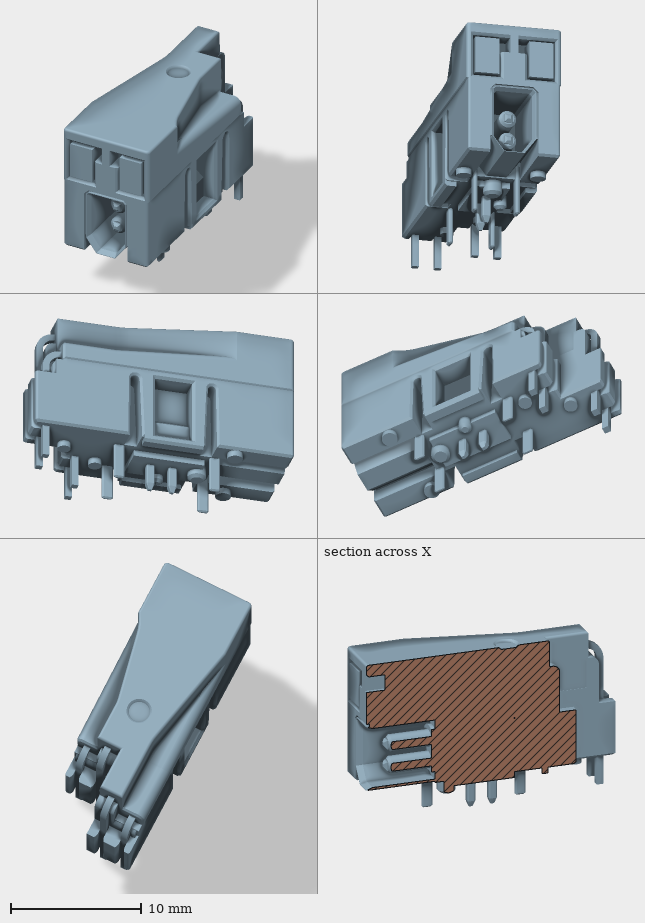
import cadquery as cq

BASE_HALF = 3.65
COVER_HALF = 3.76
COVER_TOP = 10.45
COVER_BOTTOM = 5.87
BASE_LENGTH = 20.6
REAR_SHIFT = 3.42
COVER_LENGTH = 18.43
FINGER_TOP = 4.45
SHELF_LENGTH = 18.98
SHELF_TOP = 5.75
EDGE = 0.2
UNDERSIDE_CHAMFER = 0.18
LIP = COVER_HALF - BASE_HALF

SPINE_HALF = 1.95
SPINE_BEND_LEFT = 13.25
SPINE_BEND_RIGHT = 11.7
BEND_RADIUS_LEFT = 4.3
BEND_RADIUS_RIGHT = 2.5
SPINE_END = 4.6
RIGHT_FLARE = (3.1, 6.15)
SPINE_ROOT = 0.18
STEP_X = -0.04
SHOULDER_LOW = 7.46
SHOULDER_HIGH = 8.36
RAMP_START = 14.15
SHOULDER_ROUND = 0.58
DIMPLE_X = 0.06
DIMPLE_Y = 11.65
DIMPLE_DIAMETER = 1.95
DIMPLE_DEPTH = 0.18

WINDOW_OUT = 3.45
WINDOW_IN = 0.83
WINDOW_LOW = 6.0
WINDOW_HIGH = 9.65
NOTCH_IN = 0.32
NOTCH_LOW = 8.22
WINDOW_DEPTH = 1.5
LIGHT_OUT = 3.09
LIGHT_IN = 1.19
LIGHT_LOW = 6.38
LIGHT_HIGH = 9.27

PORT_HALF = 1.91
PORT_TOP = 5.55
PORT_CORNER = 0.4
PORT_DEPTH = 5.6
SHELL_HALF = 1.5
SHELL_TOP = 5.15
SHELL_CHAMFER_TOP = 1.4
SHELL_FLOOR_HALF = 0.7
SHELL_FLOOR = 0.32
SHELL_WALL = 0.22
SHELL_BEVEL = 0.18
SHELL_BEVEL_DEPTH = 0.5
CONTACT_HEIGHTS = (1.75, 3.53)
CONTACT_TIP = 1.6
COLLAR_DIAMETER = 1.35
COLLAR_START = 1.9
CONTACT_SIZE = 0.66
CARRIER_WIDTH = 1.96
CARRIER_LOW = 0.9
CARRIER_HIGH = 4.56
CARRIER_DEPTH = 0.3

SIDE_DEPTH = BASE_HALF - PORT_HALF
TAB_THICKNESS = 0.9
TAB_BOTTOM = -0.38
FRAME_FRONT = 7.9
FRAME_REAR = 11.28
FRAME_LOW = 0.1
FRAME_HIGH = 5.53
CATCH_DEPTH = 1.1
CATCH_LOW = 1.98
CATCH_HIGH = 2.49
FRONT_SLOT = (6.12, 7.05, 6.22, 6.85)
REAR_SLOT = (12.09, 13.07, 12.29, 13.02)
SLOT_TOP = 5.36
SLOT_RIM = 0.17

PIN_WIDTH = 0.53
PIN_THICKNESS = 0.52
PIN_BOTTOM = -2.56
PIN_OUTER_Y = 19.9
PIN_INNER_X = 1.03
PIN_OUTER_X = 2.82
INNER_PIN_TOP = 9.29
OUTER_PIN_TOP = 6.77
PIN_BEND = 1.42
RIB_Y = 19.25
RIB_SPLIT = 1.6
RIB_OUT = 3.45
HIGH_RIB_TOP = 8.31
RIB_ROUND = 0.6
FINGER_SHOULDER = 0.55
FINGER_TAPER = 0.14

LEG_TIP = -2.85
LEG_WALL = 0.33
LEG_CENTRES = (5.8, 13.42)
LEG_WIDTH = 0.86
LEG_BEVEL = 0.11
SIGNAL_PIN_YS = (8.74, 10.5)
SIGNAL_PIN_SIZE = 0.66
SIGNAL_BEVEL = 0.1
SIGNAL_TAPER_LENGTH = 0.5
SIGNAL_TAPER = 22

PAD_BOTTOM = -0.48
PEG_BOTTOM = -1.09
PEG_CHAMFER = 0.23
PADS = ((-2.86, 4.52, 1.2), (2.86, 3.85, 1.2), (-0.83, 17.58, 1.03), (1.02, 14.6, 1.03))
PEGS = ((0, 6.76, 1.45), (1.33, 9.57, 1.0))
INSERT_HALF = 1.34
INSERT_FRONT = 6.5
INSERT_REAR = 12.15


def box(x0, x1, y0, y1, z0, z1):
    return cq.Workplane("XY").box(x1 - x0, y1 - y0, z1 - z0, centered=False).translate((x0, y0, z0))


def front_prism(points, y0, y1):
    """Extrude an XZ outline along Y from y0 to y1."""
    return cq.Workplane("XZ", origin=(0, y0, 0)).polyline(points).close().extrude(y0 - y1)


def side_prism(points, x0, x1):
    """Extrude a YZ outline along X from x0 to x1."""
    return cq.Workplane("YZ", origin=(x0, 0, 0)).polyline(points).close().extrude(x1 - x0)


def mirrored(shape):
    return shape.union(shape.mirror("YZ"))


def stepped_block(half, length, z0, z1):
    """Block whose +X half is shorter than its -X half."""
    left = box(-half, 0, 0, length, z0, z1)
    return left.union(box(0, half, 0, length - REAR_SHIFT, z0, z1)).clean()


def make_spine():
    """Full-height part of the cover, widening from a narrow rear to the mating face."""
    right_end = COVER_LENGTH - REAR_SHIFT
    left_points = [
        (-COVER_HALF, SPINE_END),
        (-SPINE_HALF, SPINE_BEND_LEFT),
        (-SPINE_HALF, COVER_LENGTH),
        (STEP_X, COVER_LENGTH),
        (STEP_X, right_end),
        (SPINE_HALF, right_end),
        (SPINE_HALF, SPINE_BEND_RIGHT),
        RIGHT_FLARE,
    ]
    outline = cq.Workplane("XY", origin=(0, 0, COVER_BOTTOM)).moveTo(-COVER_HALF, 0)
    for x, y in left_points:
        outline = outline.lineTo(x, y)
    outline = outline.tangentArcPoint((COVER_HALF, SPINE_END), relative=False).lineTo(COVER_HALF, 0).close()
    spine = outline.extrude(COVER_TOP - COVER_BOTTOM)
    for x, y, radius in (
        (-SPINE_HALF, SPINE_BEND_LEFT, BEND_RADIUS_LEFT),
        (SPINE_HALF, SPINE_BEND_RIGHT, BEND_RADIUS_RIGHT),
        (-COVER_HALF, 0, EDGE + LIP),
        (COVER_HALF, 0, EDGE + LIP),
    ):
        nearest = cq.selectors.NearestToPointSelector((x, y, (COVER_TOP + COVER_BOTTOM) / 2))
        spine = spine.edges("|Z").edges(nearest).fillet(radius)
    return spine.faces(">Z").edges().fillet(EDGE)


def shoulder_profile(rear, ramp_start):
    """Side profile of a shoulder that rises toward the mating face from ramp_start."""
    profile = [(SPINE_END, COVER_BOTTOM), (rear, COVER_BOTTOM), (rear, SHOULDER_LOW)]
    if ramp_start < rear:
        profile.append((ramp_start, SHOULDER_LOW))
    profile.append((SPINE_END, SHOULDER_HIGH))
    return profile


def make_shoulder(side, rear, ramp_start):
    shoulder = side_prism(shoulder_profile(rear, ramp_start), side * SPINE_HALF / 2, side * COVER_HALF)
    outer_face = ">X" if side > 0 else "<X"
    outer_edges = shoulder.faces(outer_face).edges("not(|Z)").edges(">Z or (not <Z)")
    shoulder = outer_edges.fillet(SHOULDER_ROUND)
    return shoulder.faces(">Y").edges("not(<Z)").edges("not(<X)" if side > 0 else "not(>X)").chamfer(EDGE * 0.8)


def make_root(spine, side, rear, ramp_start):
    """Strip of material that fillets the corner between one spine wall and its shoulder."""
    front = SPINE_END + SPINE_ROOT
    profile = shoulder_profile(rear, ramp_start)[2:] + [(SPINE_END, COVER_TOP), (rear, COVER_TOP)]
    clearance = side_prism(profile, side * SPINE_HALF / 2, side * COVER_HALF).cut(spine)
    slab = box(-COVER_HALF, COVER_HALF, front, rear, COVER_BOTTOM, COVER_TOP)
    clearance = clearance.intersect(slab)
    inner = sorted((side * SPINE_HALF * 0.9, side * (COVER_HALF - EDGE)))
    wall_edges = cq.selectors.BoxSelector(
        (inner[0], front + EDGE, SHOULDER_LOW - EDGE),
        (inner[1], rear - EDGE, SHOULDER_HIGH + EDGE),
    )
    clearance = clearance.edges("not(|Z)").edges(wall_edges).fillet(SPINE_ROOT)
    strip_limits = sorted((side * SPINE_HALF * 0.9, side * (COVER_HALF - SHOULDER_ROUND)))
    strip = box(*strip_limits, front, rear - EDGE, COVER_BOTTOM, SHOULDER_HIGH + SPINE_ROOT)
    return strip.cut(clearance)


def make_cover():
    spine = make_spine()
    right_end = COVER_LENGTH - REAR_SHIFT
    cover = spine
    for side, rear, ramp_start in ((-1, COVER_LENGTH, RAMP_START), (1, right_end, right_end)):
        cover = cover.union(make_shoulder(side, rear, ramp_start))
        cover = cover.union(make_root(spine, side, rear, ramp_start))
    lip = [(BASE_HALF, COVER_BOTTOM), (COVER_HALF, COVER_BOTTOM), (COVER_HALF, COVER_BOTTOM + LIP)]
    cover = cover.cut(mirrored(front_prism(lip, 0, COVER_LENGTH)))
    dimple_top = cq.Workplane("XY", origin=(DIMPLE_X, DIMPLE_Y, COVER_TOP))
    dimple = dimple_top.circle(DIMPLE_DIAMETER / 2).extrude(-DIMPLE_DEPTH, taper=45)
    return cover.cut(dimple)


def add_indicator(body):
    window = box(-WINDOW_OUT + EDGE, -WINDOW_IN - EDGE, 0, WINDOW_DEPTH, WINDOW_LOW + EDGE, WINDOW_HIGH - EDGE)
    width = WINDOW_OUT - WINDOW_IN
    height = WINDOW_HIGH - WINDOW_LOW
    centre = (-(WINDOW_OUT + WINDOW_IN) / 2, 0, (WINDOW_LOW + WINDOW_HIGH) / 2)
    bevel = cq.Workplane("XZ", origin=centre).rect(width, height).extrude(-EDGE, taper=45)
    notch = box(-WINDOW_IN - EDGE, -NOTCH_IN, 0, WINDOW_DEPTH, NOTCH_LOW, WINDOW_HIGH - EDGE)
    top_bevel = [(0, WINDOW_HIGH), (0, NOTCH_LOW), (EDGE, NOTCH_LOW), (EDGE, WINDOW_HIGH - EDGE)]
    notch_bevel = side_prism(top_bevel, -WINDOW_IN - EDGE, -NOTCH_IN)
    light = box(-LIGHT_OUT, -LIGHT_IN, 0, WINDOW_DEPTH, LIGHT_LOW, LIGHT_HIGH)
    cutter = window.union(bevel).union(notch).union(notch_bevel)
    return body.cut(mirrored(cutter)).union(mirrored(light))


def make_base():
    base = stepped_block(BASE_HALF, BASE_LENGTH, 0, COVER_BOTTOM)
    rear_cut = box(-BASE_HALF, 0, SHELF_LENGTH, BASE_LENGTH, FINGER_TOP, COVER_BOTTOM)
    shelf_cut = box(-BASE_HALF, 0, COVER_LENGTH, SHELF_LENGTH, SHELF_TOP, COVER_BOTTOM)
    left_cut = rear_cut.union(shelf_cut)
    right_cut = left_cut.translate((BASE_HALF, -REAR_SHIFT, 0))
    base = base.edges("|Z and (<Y or <X or >X)").fillet(EDGE).faces("<Z").edges().chamfer(UNDERSIDE_CHAMFER)
    return base.cut(left_cut).cut(right_cut)


def slot_outline(plane, slot, margin):
    """Tapering round-topped slot outline, widened all round by margin."""
    front_low, rear_low, front_high, rear_high = slot
    centre = (front_high + rear_high) / 2
    radius = (rear_high - front_high) / 2
    spring = SLOT_TOP - radius
    outline = plane.moveTo(front_low - margin, 0).lineTo(front_high - margin, spring)
    outline = outline.threePointArc((centre, SLOT_TOP + margin), (rear_high + margin, spring))
    return outline.lineTo(rear_low + margin, 0).close()


def cut_slots(base):
    """Cut the slots with bevelled rims into both sides."""
    for slot in (FRONT_SLOT, REAR_SLOT):
        side = cq.Workplane("YZ", origin=(-BASE_HALF, 0, 0))
        groove = slot_outline(side, slot, 0).extrude(SIDE_DEPTH)
        rim = slot_outline(side, slot, SLOT_RIM)
        rim = slot_outline(rim.workplane(offset=SLOT_RIM), slot, 0).loft(ruled=True)
        for cutter in (groove, rim):
            base = base.cut(cutter).cut(cutter.mirror("YZ"))
    return base


def add_side_latches(base):
    tab_front = FRONT_SLOT[1] + SLOT_RIM
    tab_rear = REAR_SLOT[0] - SLOT_RIM
    tab = box(-BASE_HALF, -BASE_HALF + TAB_THICKNESS, tab_front, tab_rear, TAB_BOTTOM, 1)
    tab = tab.faces("<Z").edges("<X").chamfer(EDGE)
    base = base.union(mirrored(tab))
    floor_x = -PORT_HALF
    frame = box(-BASE_HALF, floor_x, FRAME_FRONT + EDGE, FRAME_REAR - EDGE, FRAME_LOW + EDGE, FRAME_HIGH - EDGE)
    frame_centre = (-BASE_HALF, (FRAME_FRONT + FRAME_REAR) / 2, (FRAME_LOW + FRAME_HIGH) / 2)
    rim = cq.Workplane("YZ", origin=frame_centre).rect(FRAME_REAR - FRAME_FRONT, FRAME_HIGH - FRAME_LOW)
    rim = rim.extrude(EDGE, taper=45)
    catch_x = -BASE_HALF + CATCH_DEPTH
    catch = [(floor_x, FRAME_LOW), (catch_x, FRAME_LOW), (catch_x, CATCH_LOW), (floor_x, CATCH_HIGH)]
    cutter = frame.union(rim).cut(front_prism(catch, FRAME_FRONT, FRAME_REAR))
    return cut_slots(base.cut(mirrored(cutter)))


def shell_outline(offset):
    """Inside outline of the connector shell, grown outward by offset."""
    right = [
        (SHELL_FLOOR_HALF + offset / 2, SHELL_FLOOR - offset),
        (SHELL_HALF + offset, SHELL_CHAMFER_TOP - offset / 2),
        (SHELL_HALF + offset, SHELL_TOP + offset - PORT_CORNER / 2),
        (SHELL_HALF + offset - PORT_CORNER / 2, SHELL_TOP + offset),
    ]
    return right + [(-x, z) for x, z in reversed(right)]


def add_port(body):
    opening = box(-PORT_HALF, PORT_HALF, 0, PORT_DEPTH, -1, PORT_TOP)
    opening = opening.edges("|Y and >Z").chamfer(PORT_CORNER)
    wall = PORT_HALF - SHELL_HALF
    liner = opening.intersect(box(-PORT_HALF, PORT_HALF, SHELL_WALL, PORT_DEPTH, SHELL_CHAMFER_TOP, PORT_TOP))
    tray = front_prism(shell_outline(SHELL_WALL), 0, PORT_DEPTH)
    mouth = cq.Workplane("XZ").polyline(shell_outline(SHELL_BEVEL)).close()
    mouth = mouth.workplane(offset=-SHELL_BEVEL_DEPTH).polyline(shell_outline(0)).close().loft(ruled=True)
    shell = tray.union(liner).cut(front_prism(shell_outline(0), 0, PORT_DEPTH)).cut(mouth)
    body = body.cut(opening).union(shell)
    height = CARRIER_HIGH - CARRIER_LOW
    carrier = box(-CARRIER_WIDTH / 2, CARRIER_WIDTH / 2, PORT_DEPTH - CARRIER_DEPTH, PORT_DEPTH, 0, height)
    carrier = carrier.edges("|Y and >Z").fillet(wall * 2).edges("|Y and <Z").fillet(EDGE)
    body = body.union(carrier.translate((0, 0, CARRIER_LOW)))
    for z in CONTACT_HEIGHTS:
        collar = cq.Workplane("XZ", origin=(0, COLLAR_START, z)).circle(COLLAR_DIAMETER / 2)
        collar = collar.extrude(COLLAR_START - PORT_DEPTH).faces("<Y").chamfer(EDGE)
        contact = cq.Workplane("XZ", origin=(0, CONTACT_TIP, z)).rect(CONTACT_SIZE, CONTACT_SIZE)
        contact = contact.extrude(CONTACT_TIP - PORT_DEPTH).faces("<Y").chamfer(EDGE)
        body = body.union(collar).union(contact)
    return body


def bent_pin(x, top):
    """Terminal leaving the cover rearward and bending down through the base."""
    inner_y = PIN_OUTER_Y - PIN_THICKNESS
    bend_y = PIN_OUTER_Y - PIN_BEND
    bend_z = top - PIN_BEND
    diagonal = 0.5 ** 0.5
    inner_bend = PIN_BEND - PIN_THICKNESS
    start_y = COVER_LENGTH - 1
    pin = cq.Workplane("YZ", origin=(x - PIN_WIDTH / 2, 0, 0)).moveTo(PIN_OUTER_Y, PIN_BOTTOM)
    pin = pin.lineTo(PIN_OUTER_Y, bend_z)
    pin = pin.threePointArc((bend_y + PIN_BEND * diagonal, bend_z + PIN_BEND * diagonal), (bend_y, top))
    pin = pin.lineTo(start_y, top).lineTo(start_y, top - PIN_THICKNESS).lineTo(bend_y, top - PIN_THICKNESS)
    inner_mid = (bend_y + inner_bend * diagonal, bend_z + inner_bend * diagonal)
    pin = pin.threePointArc(inner_mid, (inner_y, bend_z)).lineTo(inner_y, PIN_BOTTOM)
    return pin.close().extrude(PIN_WIDTH)


def groove_cutter(x):
    """Open guide groove around one pin, widening at its mouth."""
    half = PIN_WIDTH / 2
    shoulder_y = BASE_LENGTH - FINGER_SHOULDER
    mouth = half + FINGER_TAPER
    groove = cq.Workplane("XY").moveTo(x - half, PIN_OUTER_Y - PIN_THICKNESS).lineTo(x - half, shoulder_y)
    groove = groove.threePointArc((x - half - FINGER_TAPER / 4, BASE_LENGTH - EDGE), (x - mouth, BASE_LENGTH))
    groove = groove.lineTo(x + mouth, BASE_LENGTH)
    groove = groove.threePointArc((x + half + FINGER_TAPER / 4, BASE_LENGTH - EDGE), (x + half, shoulder_y))
    return groove.lineTo(x + half, PIN_OUTER_Y - PIN_THICKNESS).close().extrude(COVER_BOTTOM)


def make_ribs():
    front = COVER_LENGTH - EDGE
    high = box(-RIB_SPLIT, 0, front, RIB_Y, FINGER_TOP, HIGH_RIB_TOP)
    low = box(-RIB_OUT, -RIB_SPLIT, front, RIB_Y, FINGER_TOP, SHELF_TOP)
    high = high.edges("|X and >Y and >Z").fillet(RIB_ROUND)
    return high.union(low.edges("|X and >Y and >Z").fillet(RIB_ROUND))


def add_terminals(body):
    ribs = make_ribs()
    grooves = groove_cutter(-PIN_INNER_X).union(groove_cutter(-PIN_OUTER_X))
    pins = bent_pin(-PIN_INNER_X, INNER_PIN_TOP).union(bent_pin(-PIN_OUTER_X, OUTER_PIN_TOP))
    shift = (0, -REAR_SHIFT, 0)
    for feature in (ribs, ribs.mirror("YZ").translate(shift)):
        body = body.union(feature)
    for feature in (grooves, grooves.mirror("YZ").translate(shift)):
        body = body.cut(feature)
    for feature in (pins, pins.mirror("YZ").translate(shift)):
        body = body.union(feature)
    return body


def add_underside(body):
    for x, y, diameter in PADS:
        body = body.union(cq.Workplane("XY", origin=(x, y, 1)).circle(diameter / 2).extrude(PAD_BOTTOM - 1))
    body = body.union(box(-INSERT_HALF, INSERT_HALF, INSERT_FRONT, INSERT_REAR, PAD_BOTTOM, 1))
    for x, y, diameter in PEGS:
        peg = cq.Workplane("XY", origin=(x, y, 1)).circle(diameter / 2).extrude(PEG_BOTTOM - 1)
        body = body.union(peg.faces("<Z").chamfer(PEG_CHAMFER))
    for y in LEG_CENTRES:
        leg = box(-SHELL_HALF - LEG_WALL, -SHELL_HALF, y - LEG_WIDTH / 2, y + LEG_WIDTH / 2, LEG_TIP, 1)
        leg = leg.edges("|Z").chamfer(LEG_BEVEL).faces("<Z").chamfer(LEG_BEVEL)
        body = body.union(mirrored(leg))
    half = SIGNAL_PIN_SIZE / 2
    for y in SIGNAL_PIN_YS:
        taper_top = PIN_BOTTOM + SIGNAL_TAPER_LENGTH
        pin = box(-half, half, y - half, y + half, taper_top, 1).edges("|Z").chamfer(SIGNAL_BEVEL)
        pin = pin.faces("<Z").wires().toPending().workplane().extrude(SIGNAL_TAPER_LENGTH, taper=SIGNAL_TAPER)
        body = body.union(pin)
    return body


base = add_side_latches(make_base())
body = add_indicator(base.union(make_cover()))
result = add_underside(add_terminals(add_port(body)))